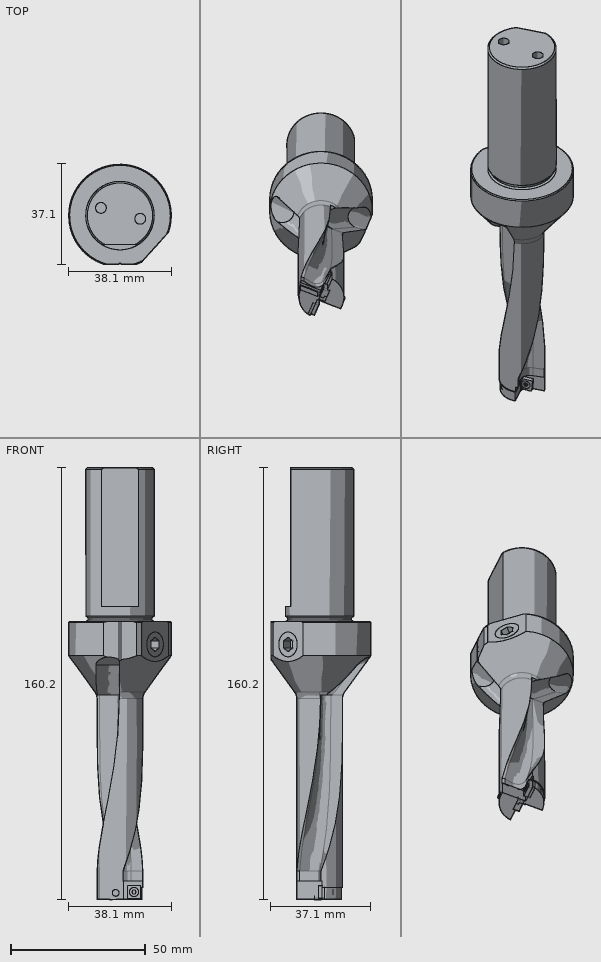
import cadquery as cq
import math

CONE_BOTTOM = 75.75
CONE_TOP = 90.3
COLLAR_TOP = 103.0
SHANK_BOTTOM = 105.0
SHANK_FLAT_BOTTOM = 108.6
SHANK_TOP = 160.0

DRILL_RADIUS = 17.0 / 2
SHANK_RADIUS = 25.4 / 2
COLLAR_RADIUS = 38.1 / 2
NECK_RADIUS = 11.9
NECK_HEIGHT = 0.9
SHANK_CHAMFER = 0.6
COLLAR_CHAMFER = 0.4
CONE_FILLET = 4.2

SHANK_FLAT_Y = -10.7
COLLAR_FLAT_Y = -18.05
PLUG_FACE_DISTANCE = 17.5
PLUG_FACE_ANGLE = -42.0
COLLAR_CORNER_RADIUS = 2.8
MARK_WIDTH = 0.7
MARK_DEPTH = 0.3

COOLANT_DIAMETER = 4.0
COOLANT_DEPTH = 15.0
COOLANT_POINTS = [(-7.05, 2.85), (7.5, -1.2)]

FLUTE_OFFSET = 0.25
FLUTE_CORNER = 3.9
FLUTE_WIDTH = 8.6
FLUTE_LIP_X = -7.5
FLUTE_LIP_Y = -0.55
FLUTE_LIP_SLOPE = -0.1
FLUTE_OUTER_Y = -24.0
FLUTE_TOP = 75.7
FLUTE_TWIST_END = 10.5
FLUTE_BOTTOM = 6.8
FLUTE_TWIST = 85.0
FLUTE_SECTIONS = 12
RUNOUT = cq.Vector(0, -9.1, 11.2)
RUNOUT_CAP = cq.Vector(0, -12.0, 4.0)

POCKET_DEPTH = 0.96
CENTRE_POCKET_X = -0.25
OUTER_POCKET_X = 1.3
POCKET_STEP = 0.3
POCKET_STEP_Y = 1.4
RELIEF_RADIUS = 8.15
RELIEF_HEIGHT = 4.5

INSERT_SIZE = 4.9
INSERT_THICKNESS = 2.4
INSERT_CORNER_RADIUS = 0.4
RAKE_OFFSET = 0.5
CENTRE_INSERT_X = -1.6
OUTER_INSERT_X = 5.2
OUTER_INSERT_Z = 2.75
CENTRE_INSERT_TILT = 4.0
TIP_PROTRUSION = 0.17
SCREW_DIAMETER = 2.5
SCREW_HEAD_DIAMETER = 3.4
SCREW_HEAD_HEIGHT = 1.2
SCREW_SOCKET_DIAMETER = 1.6
SCREW_SOCKET_DEPTH = 0.8
CENTRE_SCREW_LENGTH = 9.05
OUTER_SCREW_LENGTH = 5.5

TILT = math.radians(CENTRE_INSERT_TILT)
CORNER_REACH = INSERT_SIZE / 2 - INSERT_CORNER_RADIUS
CENTRE_INSERT_Z = CORNER_REACH * (math.cos(TILT) + math.sin(TILT)) + INSERT_CORNER_RADIUS - TIP_PROTRUSION

PLUG_DIAMETER = 9.2
PLUG_LENGTH = 8.0
PLUG_Z = 94.5
PLUG_SOCKET_FLATS = 4.5
PLUG_SOCKET_DEPTH = 4.0


def turned_blank():
    """Shank, neck, collar, cone and drill stem as one turned shape."""
    neck_bottom = COLLAR_TOP + NECK_HEIGHT / 2
    profile = (
        cq.Workplane("XZ")
        .moveTo(0, 0)
        .lineTo(DRILL_RADIUS, 0)
        .lineTo(DRILL_RADIUS, CONE_BOTTOM)
        .lineTo(COLLAR_RADIUS, CONE_TOP)
        .lineTo(COLLAR_RADIUS, COLLAR_TOP - COLLAR_CHAMFER)
        .lineTo(COLLAR_RADIUS - COLLAR_CHAMFER, COLLAR_TOP)
        .lineTo(SHANK_RADIUS, COLLAR_TOP)
        .lineTo(NECK_RADIUS, neck_bottom)
        .lineTo(NECK_RADIUS, neck_bottom + NECK_HEIGHT)
        .lineTo(SHANK_RADIUS, SHANK_BOTTOM)
        .lineTo(SHANK_RADIUS, SHANK_TOP - SHANK_CHAMFER)
        .lineTo(SHANK_RADIUS - SHANK_CHAMFER, SHANK_TOP)
        .lineTo(0, SHANK_TOP)
        .close()
    )
    blank = profile.revolve(360, (0, 0, 0), (0, 1, 0))
    stem_end = cq.selectors.NearestToPointSelector((0, 0, CONE_BOTTOM))
    return blank.edges("%CIRCLE").edges(stem_end).fillet(CONE_FILLET)


def plug_plane(depth):
    """Plane parallel to the plug face, sunk by depth, with its normal pointing outwards."""
    normal = cq.Vector(
        math.cos(math.radians(PLUG_FACE_ANGLE)), math.sin(math.radians(PLUG_FACE_ANGLE)), 0
    )
    origin = normal * (PLUG_FACE_DISTANCE - depth) + cq.Vector(0, 0, PLUG_Z)
    return cq.Workplane(cq.Plane(origin=origin, xDir=(0, 0, 1), normal=normal))


def collar_outline():
    """Prism over the cone and collar with the front flat, the plug face and the round between them."""
    size = 4 * COLLAR_RADIUS
    height = COLLAR_TOP - FLUTE_TOP
    outline = (
        cq.Workplane("XY").workplane(offset=FLUTE_TOP)
        .center(0, COLLAR_FLAT_Y + size / 2).rect(size, size).extrude(height)
    )
    beyond_plug_face = plug_plane(0).rect(2 * size, 2 * size).extrude(size)
    normal_x = math.cos(math.radians(PLUG_FACE_ANGLE))
    normal_y = math.sin(math.radians(PLUG_FACE_ANGLE))
    corner_x = (PLUG_FACE_DISTANCE - COLLAR_FLAT_Y * normal_y) / normal_x
    corner = cq.selectors.NearestToPointSelector((corner_x, COLLAR_FLAT_Y, FLUTE_TOP + height / 2))
    return outline.cut(beyond_plug_face).edges("|Z").edges(corner).fillet(COLLAR_CORNER_RADIUS)


def add_collar_flats(body):
    collar_zone = (
        cq.Workplane("XY").workplane(offset=FLUTE_TOP)
        .circle(2 * COLLAR_RADIUS).extrude(COLLAR_TOP - FLUTE_TOP)
    )
    return body.cut(collar_zone.cut(collar_outline()))


def orientation_mark():
    """Narrow upright groove in the middle of the collar's front flat."""
    return (
        cq.Workplane("XY").workplane(offset=FLUTE_TOP)
        .center(0, COLLAR_FLAT_Y).rect(MARK_WIDTH, 2 * MARK_DEPTH).extrude(COLLAR_TOP - FLUTE_TOP)
    )


def shank_flat():
    return (
        cq.Workplane("XY").workplane(offset=SHANK_FLAT_BOTTOM)
        .center(0, SHANK_FLAT_Y - SHANK_RADIUS / 2)
        .rect(2 * SHANK_RADIUS, SHANK_RADIUS).extrude(SHANK_TOP - SHANK_FLAT_BOTTOM)
    )


def coolant_holes():
    return (
        cq.Workplane("XY").workplane(offset=SHANK_TOP - COOLANT_DEPTH)
        .pushPoints(COOLANT_POINTS).circle(COOLANT_DIAMETER / 2).extrude(COOLANT_DEPTH)
    )


def flute_section(z):
    """Flute outline at height z: wall, curved floor and lip, turned by the twist there."""
    wall_x = -FLUTE_OFFSET
    floor_y = -FLUTE_OFFSET
    corner_x = wall_x - FLUTE_CORNER
    corner_y = floor_y - FLUTE_CORNER
    section = (
        cq.Workplane("XY").workplane(offset=z)
        .moveTo(wall_x, FLUTE_OUTER_Y)
        .lineTo(wall_x, corner_y)
        .spline(
            [(corner_x, floor_y), (FLUTE_LIP_X, FLUTE_LIP_Y)],
            tangents=[(0, 1), (-1, FLUTE_LIP_SLOPE)], includeCurrent=True,
        )
        .lineTo(-FLUTE_OFFSET - FLUTE_WIDTH, floor_y)
        .lineTo(-FLUTE_OFFSET - FLUTE_WIDTH, FLUTE_OUTER_Y)
        .close()
    )
    fraction = (FLUTE_TOP - z) / (FLUTE_TOP - FLUTE_TWIST_END)
    return section.val().rotate(cq.Vector(0, 0, 0), cq.Vector(0, 0, 1), -FLUTE_TWIST * fraction**2)


def runout_section():
    """Round-bottomed slot as wide as the flute, open to -Y."""
    radius = FLUTE_WIDTH / 2
    middle_x = -FLUTE_OFFSET - radius
    floor_y = -FLUTE_OFFSET
    return (
        cq.Workplane("XY").workplane(offset=FLUTE_TOP)
        .moveTo(middle_x + radius, FLUTE_OUTER_Y)
        .lineTo(middle_x + radius, floor_y - radius)
        .threePointArc((middle_x, floor_y), (middle_x - radius, floor_y - radius))
        .lineTo(middle_x - radius, FLUTE_OUTER_Y)
        .close().val()
    )


def flute():
    """Twisted flute with a straight lower end and an oblique run-out through the cone into the collar."""
    step = (FLUTE_TOP - FLUTE_TWIST_END) / FLUTE_SECTIONS
    sections = [flute_section(FLUTE_TOP - i * step) for i in range(FLUTE_SECTIONS + 1)]
    twisted = cq.Solid.makeLoft(sections)
    lower_end = cq.Solid.extrudeLinear(sections[-1], [], cq.Vector(0, 0, FLUTE_BOTTOM - FLUTE_TWIST_END))
    runout = cq.Solid.extrudeLinear(runout_section(), [], RUNOUT)
    cap = cq.Solid.extrudeLinear(runout_section().translate(RUNOUT), [], RUNOUT_CAP)
    return [twisted, lower_end, runout, cap]


def half_turn(shape):
    return shape.rotate(cq.Vector(0, 0, 0), cq.Vector(0, 0, 1), 180)


def centre_pocket():
    """Quarter cleared in front of the centre insert (-X, +Y)."""
    size = 2 * DRILL_RADIUS
    pocket = cq.Workplane("XY").box(size, size, FLUTE_BOTTOM, centered=False)
    step = cq.Workplane("XY").box(size, size, RELIEF_HEIGHT, centered=False)
    return (
        pocket.translate((CENTRE_POCKET_X - size, -POCKET_DEPTH, 0))
        .union(step.translate((CENTRE_POCKET_X + POCKET_STEP - size, POCKET_STEP_Y, 0)))
    )


def outer_pocket():
    """Quarter cleared in front of the outer insert (+X, -Y)."""
    size = 2 * DRILL_RADIUS
    return cq.Workplane("XY").box(size, size, FLUTE_BOTTOM, centered=False).translate(
        (OUTER_POCKET_X, POCKET_DEPTH - size, 0)
    )


def outer_relief():
    """Thin skin removed from the body behind the outer insert."""
    ring = cq.Workplane("XY").circle(2 * DRILL_RADIUS).circle(RELIEF_RADIUS).extrude(RELIEF_HEIGHT)
    quarter = cq.Workplane("XY").box(2 * DRILL_RADIUS, 2 * DRILL_RADIUS, RELIEF_HEIGHT, centered=False)
    return ring.intersect(quarter)


def insert_blank():
    """Square insert centred on the Y axis, rake face on Y = 0 facing +Y."""
    return (
        cq.Workplane("XZ").rect(INSERT_SIZE, INSERT_SIZE).extrude(INSERT_THICKNESS)
        .edges("|Y").fillet(INSERT_CORNER_RADIUS)
    )


def screw_blank(length):
    """Countersunk screw along -Y with its head face on Y = 0."""
    head_radius = SCREW_HEAD_DIAMETER / 2
    shank_radius = SCREW_DIAMETER / 2
    return (
        cq.Workplane("XY")
        .polyline([
            (0, 0), (head_radius, 0), (shank_radius, -SCREW_HEAD_HEIGHT),
            (shank_radius, -length), (0, -length),
        ])
        .close().revolve(360, (0, 0, 0), (0, 1, 0))
    )


def screw_socket():
    return cq.Workplane("XZ").polygon(6, SCREW_SOCKET_DIAMETER).extrude(SCREW_SOCKET_DEPTH)


def place_centre(shape):
    return (
        shape.rotate((0, 0, 0), (0, 1, 0), -CENTRE_INSERT_TILT)
        .translate((CENTRE_INSERT_X, RAKE_OFFSET, CENTRE_INSERT_Z))
    )


def place_outer(shape):
    return (
        shape.rotate((0, 0, 0), (0, 0, 1), 180)
        .translate((OUTER_INSERT_X, -RAKE_OFFSET, OUTER_INSERT_Z))
    )


def plug_blank():
    return plug_plane(PLUG_LENGTH).circle(PLUG_DIAMETER / 2).extrude(PLUG_LENGTH)


def plug_socket():
    across_corners = PLUG_SOCKET_FLATS / math.cos(math.pi / 6)
    return plug_plane(PLUG_SOCKET_DEPTH).polygon(6, across_corners).extrude(PLUG_SOCKET_DEPTH)


inserts = []
screws = []
seats = []
for place, length in ((place_centre, CENTRE_SCREW_LENGTH), (place_outer, OUTER_SCREW_LENGTH)):
    insert = place(insert_blank())
    screw = place(screw_blank(length))
    seats += [insert, screw]
    inserts.append(insert.cut(screw))
    screws.append(screw.cut(place(screw_socket())))

plug = plug_blank().cut(plug_socket())

body = add_collar_flats(turned_blank())
body = body.cut(shank_flat()).cut(coolant_holes()).cut(orientation_mark())
for piece in flute():
    body = body.cut(cq.Workplane(piece)).cut(cq.Workplane(half_turn(piece)))
body = body.cut(centre_pocket()).cut(outer_pocket()).cut(outer_relief())
for seat in seats:
    body = body.cut(seat)
body = body.cut(plug_blank())

result = cq.Compound.makeCompound(
    [body.val(), *(insert.val() for insert in inserts), *(screw.val() for screw in screws), plug.val()]
)